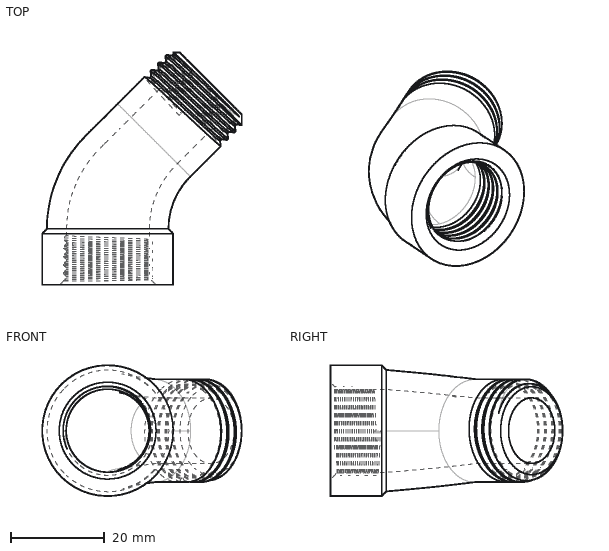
import cadquery as cq
import math

collar_diameter = 28.0
collar_length = 11.95
collar_chamfer = 1.0
collar_bore = 17.7
mouth_diameter = 20.7

outlet_angle = 45.0
axis_crossing = 21.0
bend_end = 14.0
outlet_tip = 31.1
outlet_diameter = 22.0
outlet_bore = 14.0
tip_face_diameter = 18.75
bend_sections = 8

outlet_pitch = 2.25
collar_pitch = 1.85
outlet_thread_depth = 0.95
collar_thread_depth = 0.65
outlet_groove_mouth = 1.8
collar_groove_mouth = 1.4
groove_root = 0.45
groove_overrun = 0.15
lead_in_margin = 0.5
seam_turn = 180.0
outlet_thread_start = 22.45
collar_thread_end = 9.95
collar_turns = 5.5

bend_start_diameter = collar_diameter - 2 * collar_chamfer
angle = math.radians(outlet_angle)
outlet_direction = cq.Vector(math.sin(angle), math.cos(angle), 0)
outlet_plane = cq.Plane(
    origin=(0, axis_crossing, 0),
    xDir=(0, 0, -1),
    normal=outlet_direction.toTuple(),
)
collar_plane = cq.Plane(origin=(0, 0, 0), xDir=(1, 0, 0), normal=(0, 1, 0))


def rail_point(start, end, t):
    """Point on an arc tangent to the collar axis that runs on straight along the outlet."""
    leg = end.y - start.y - (end.x - start.x) / math.tan(angle)
    radius = leg / math.tan(angle / 2)
    arc_end = start + cq.Vector(radius * (1 - math.cos(angle)), radius * math.sin(angle), 0)
    arc_length = radius * angle
    travel = t * (arc_length + (end - arc_end).Length)
    if travel > arc_length:
        return arc_end + outlet_direction * (travel - arc_length)
    turn = travel / radius
    return start + cq.Vector(radius * (1 - math.cos(turn)), radius * math.sin(turn), 0)


def bend(start_diameter, end_diameter):
    """Tapered bend through elliptical rings held between an outer and an inner rail."""
    across_end = cq.Vector(-math.cos(angle), math.sin(angle), 0)
    end_center = cq.Vector(0, axis_crossing, 0) + outlet_direction * bend_end

    def rail(side, t):
        start = cq.Vector(-side * start_diameter / 2, collar_length, 0)
        end = end_center + across_end * (side * end_diameter / 2)
        return rail_point(start, end, t)

    rings = []
    for index in range(bend_sections + 1):
        t = index / bend_sections
        outer = rail(1, t)
        inner = rail(-1, t)
        half_width = (outer - inner).Length / 2
        half_height = (start_diameter + (end_diameter - start_diameter) * t) / 2
        across = inner - outer
        ring_plane = cq.Plane(
            origin=(outer + inner) * 0.5,
            xDir=across,
            normal=(-across.y, across.x, 0),
        )
        rings.append(cq.Workplane(ring_plane).ellipse(half_width, half_height).wires().val())
    return cq.Workplane(cq.Solid.makeLoft(rings))


def thread_groove(surface_radius, start, end, depth, pitch, mouth):
    """Helical cutter about local Z; a negative depth cuts toward the axis."""
    side = math.copysign(1, depth)
    flank_slope = (mouth - groove_root) / (2 * abs(depth))
    outer_half = mouth / 2 + groove_overrun * flank_slope
    helix = cq.Wire.makeHelix(pitch, end - start, surface_radius)
    root = surface_radius + depth
    open_side = surface_radius - side * groove_overrun
    return (
        cq.Workplane("XZ")
        .polyline([
            (open_side, -outer_half),
            (root, -groove_root / 2),
            (root, groove_root / 2),
            (open_side, outer_half),
        ])
        .close()
        .sweep(cq.Workplane(helix), isFrenet=True)
        .translate((0, 0, start))
        .val()
    )


def collar():
    return (
        cq.Workplane(collar_plane)
        .circle(collar_diameter / 2)
        .extrude(collar_length)
        .faces(">Y")
        .chamfer(collar_chamfer)
    )


def threaded_outlet():
    """Straight threaded outlet with a conical lead-in at its tip, built along local Z."""
    radius = outlet_diameter / 2
    tip_radius = tip_face_diameter / 2
    cone_start = outlet_tip - (radius + lead_in_margin - tip_radius)
    envelope = (
        cq.Workplane("XZ")
        .polyline([
            (0, bend_end - lead_in_margin),
            (radius + lead_in_margin, bend_end - lead_in_margin),
            (radius + lead_in_margin, cone_start),
            (tip_radius, outlet_tip),
            (0, outlet_tip),
        ])
        .close()
        .revolve(360, (0, 0, 0), (0, 1, 0))
    )
    groove = thread_groove(
        radius,
        outlet_thread_start,
        outlet_tip + outlet_pitch / 2,
        -outlet_thread_depth,
        outlet_pitch,
        outlet_groove_mouth,
    )
    blank = cq.Workplane("XY").workplane(offset=bend_end).circle(radius).extrude(outlet_tip - bend_end)
    blank = blank.rotate((0, 0, 0), (0, 0, 1), seam_turn)
    envelope = envelope.rotate((0, 0, 0), (0, 0, 1), seam_turn)
    return blank.cut(cq.Workplane(groove)).intersect(envelope)


def collar_hole():
    """Collar bore with a conical mouth."""
    radius = collar_bore / 2
    mouth_radius = mouth_diameter / 2
    mouth_depth = mouth_radius - radius
    return (
        cq.Workplane("XY")
        .polyline([
            (0, 0),
            (mouth_radius, 0),
            (radius, mouth_depth),
            (radius, collar_length),
            (0, collar_length),
        ])
        .close()
        .revolve(360, (0, 0, 0), (0, 1, 0))
    )


def threaded_collar():
    groove = thread_groove(
        collar_bore / 2,
        collar_thread_end - collar_turns * collar_pitch,
        collar_thread_end,
        collar_thread_depth,
        collar_pitch,
        collar_groove_mouth,
    )
    placed_groove = cq.Workplane(groove.moved(cq.Location(collar_plane)))
    return collar().cut(collar_hole()).cut(placed_groove)


def outlet_hole():
    return (
        cq.Workplane(outlet_plane)
        .workplane(offset=bend_end)
        .circle(outlet_bore / 2)
        .extrude(outlet_tip - bend_end)
    )


outlet = cq.Workplane(threaded_outlet().val().moved(cq.Location(outlet_plane))).cut(outlet_hole())
hollow_bend = bend(bend_start_diameter, outlet_diameter).cut(bend(collar_bore, outlet_bore))
result = threaded_collar().union(hollow_bend).union(outlet)